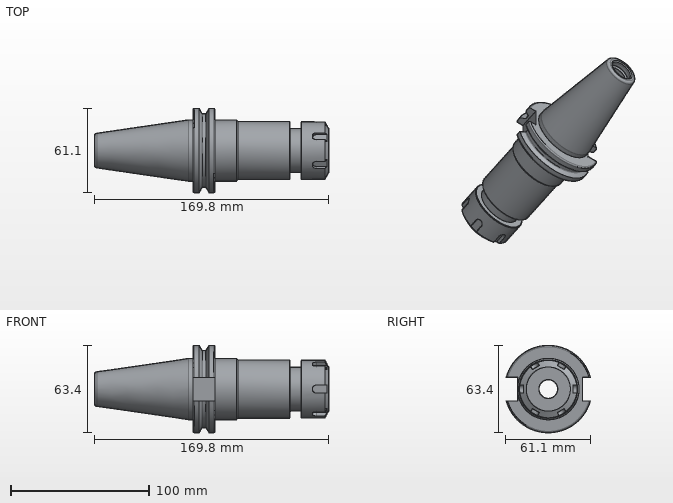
import cadquery as cq
import math


TAPER_RATIO = 7 / 24
GAUGE_DIAMETER = 44.5
TAPER_END_X = 68.1
SMALL_END_ROUND = 2.0

FLANGE_START_X = 71.3
FLANGE_END_X = 87.1
FLANGE_DIAMETER = 63.4
FLANGE_ROUND = 1.0
GROOVE_START_X = 75.8
GROOVE_END_X = 82.9
GROOVE_DIAMETER = 56.0
GROOVE_WALL_ANGLE = 60.0
GROOVE_ROUND = 0.5

DRIVE_SLOT_WIDTH = 17.0
DRIVE_FLOOR_FRONT = 22.3
DRIVE_FLOOR_BACK = 24.8

COLLAR_DIAMETER = GAUGE_DIAMETER
COLLAR_END_X = 103.8
BODY_DIAMETER = 42.3
BODY_END_X = 141.5
BODY_CHAMFER = 0.5
NOSE_DIAMETER = 32.0
NECK_ROUND = 0.5
NOSE_END_X = 163.0

BORE_DIAMETER = 13.5
MOUTH_DIAMETER = 18.0
COUNTERBORE_DIAMETER = 16.3
COUNTERBORE_END_X = 2.4
THREAD_DIAMETER = 15.8
THREAD_START_X = 3.5
THREAD_END_X = 4.2

NUT_START_X = 149.5
NUT_END_X = 169.8
NUT_DIAMETER = 42.0
NUT_FACE_DIAMETER = 32.0
NUT_CONE_START_X = 166.8
NUT_CONE_END_X = 169.3
NUT_BACK_CHAMFER = 0.5

WRENCH_SLOT_COUNT = 6
WRENCH_SLOT_WIDTH = 5.8
WRENCH_SLOT_START_X = 157.6
WRENCH_FLOOR_RADIUS = 18.0


def revolve_about_axis(profile):
    """Turn a closed profile, drawn as (X, radius), around the X axis."""
    return profile.close().revolve(360, (0, 0, 0), (1, 0, 0))


def cylinder(start_x, end_x, diameter):
    return cq.Workplane("YZ", origin=(start_x, 0, 0)).circle(diameter / 2).extrude(end_x - start_x)


def taper_shank():
    gauge_radius = GAUGE_DIAMETER / 2
    small_radius = gauge_radius - TAPER_END_X * TAPER_RATIO / 2
    shank = revolve_about_axis(
        cq.Workplane("XY")
        .lineTo(0, small_radius)
        .lineTo(TAPER_END_X, gauge_radius)
        .lineTo(FLANGE_START_X, gauge_radius)
        .lineTo(FLANGE_START_X, 0)
    )
    return shank.faces("<X").edges().fillet(SMALL_END_ROUND)


def gripper_groove():
    outer_radius = FLANGE_DIAMETER / 2
    floor_radius = GROOVE_DIAMETER / 2
    wall_length = (outer_radius - floor_radius) / math.tan(math.radians(GROOVE_WALL_ANGLE))
    groove = revolve_about_axis(
        cq.Workplane("XY")
        .moveTo(GROOVE_START_X, outer_radius)
        .lineTo(GROOVE_START_X + wall_length, floor_radius)
        .lineTo(GROOVE_END_X - wall_length, floor_radius)
        .lineTo(GROOVE_END_X, outer_radius)
    )
    floor_edges = cq.selectors.RadiusNthSelector(0)
    return groove.edges(floor_edges).fillet(GROOVE_ROUND)


def drive_slot(side, floor_distance):
    """Slot cutter on one side of the flange; side is -1 for -Y and +1 for +Y."""
    depth = FLANGE_DIAMETER / 2
    centre_y = side * (floor_distance + depth / 2)
    slot = cq.Workplane("XY", origin=(FLANGE_START_X, centre_y, 0))
    return slot.box(
        FLANGE_END_X - FLANGE_START_X, depth, DRIVE_SLOT_WIDTH, centered=(False, True, True)
    )


def flange():
    disc = cylinder(FLANGE_START_X, FLANGE_END_X, FLANGE_DIAMETER).edges().fillet(FLANGE_ROUND)
    return (
        disc.cut(gripper_groove())
        .cut(drive_slot(-1, DRIVE_FLOOR_FRONT))
        .cut(drive_slot(1, DRIVE_FLOOR_BACK))
    )


def body():
    collar_radius = COLLAR_DIAMETER / 2
    body_radius = BODY_DIAMETER / 2
    nose_radius = NOSE_DIAMETER / 2
    collar_chamfer = collar_radius - body_radius
    return revolve_about_axis(
        cq.Workplane("XY")
        .moveTo(FLANGE_START_X, 0)
        .lineTo(FLANGE_START_X, collar_radius)
        .lineTo(COLLAR_END_X - collar_chamfer, collar_radius)
        .lineTo(COLLAR_END_X, body_radius)
        .lineTo(BODY_END_X - BODY_CHAMFER, body_radius)
        .lineTo(BODY_END_X, body_radius - BODY_CHAMFER)
        .lineTo(BODY_END_X, nose_radius + NECK_ROUND)
        .radiusArc((BODY_END_X + NECK_ROUND, nose_radius), -NECK_ROUND)
        .lineTo(NOSE_END_X, nose_radius)
        .lineTo(NOSE_END_X, 0)
    )


def holder_bore():
    mouth_radius = MOUTH_DIAMETER / 2
    counterbore_radius = COUNTERBORE_DIAMETER / 2
    thread_radius = THREAD_DIAMETER / 2
    bore_radius = BORE_DIAMETER / 2
    return revolve_about_axis(
        cq.Workplane("XY")
        .lineTo(0, mouth_radius)
        .lineTo(mouth_radius - counterbore_radius, counterbore_radius)
        .lineTo(COUNTERBORE_END_X, counterbore_radius)
        .lineTo(THREAD_START_X, thread_radius)
        .lineTo(THREAD_END_X, thread_radius)
        .lineTo(THREAD_END_X + thread_radius - bore_radius, bore_radius)
        .lineTo(NOSE_END_X, bore_radius)
        .lineTo(NOSE_END_X, 0)
    )


def make_holder():
    return taper_shank().union(flange()).union(body()).cut(holder_bore())


def wrench_slot():
    """Slot cutter on the -Y side of the nut: round at the back, running out at the cone."""
    radius = WRENCH_SLOT_WIDTH / 2
    depth = NUT_DIAMETER / 2
    centre_x = WRENCH_SLOT_START_X + radius
    return (
        cq.Workplane("XZ", origin=(0, -WRENCH_FLOOR_RADIUS, 0))
        .moveTo(NUT_END_X, radius)
        .lineTo(centre_x, radius)
        .threePointArc((WRENCH_SLOT_START_X, 0), (centre_x, -radius))
        .lineTo(NUT_END_X, -radius)
        .close()
        .extrude(depth)
    )


def make_nut():
    nut_radius = NUT_DIAMETER / 2
    face_radius = NUT_FACE_DIAMETER / 2
    nut = revolve_about_axis(
        cq.Workplane("XY")
        .moveTo(NUT_START_X, 0)
        .lineTo(NUT_START_X, nut_radius - NUT_BACK_CHAMFER)
        .lineTo(NUT_START_X + NUT_BACK_CHAMFER, nut_radius)
        .lineTo(NUT_CONE_START_X, nut_radius)
        .lineTo(NUT_CONE_END_X, face_radius)
        .lineTo(NUT_END_X, face_radius)
        .lineTo(NUT_END_X, 0)
    )
    for index in range(WRENCH_SLOT_COUNT):
        angle = index * 360 / WRENCH_SLOT_COUNT
        nut = nut.cut(wrench_slot().rotate((0, 0, 0), (1, 0, 0), angle))
    nut = nut.cut(cylinder(NUT_START_X, NOSE_END_X, NOSE_DIAMETER))
    return nut.cut(cylinder(NOSE_END_X, NUT_END_X, BORE_DIAMETER))


holder = make_holder()
nut = make_nut()
result = cq.Compound.makeCompound([holder.solids().val(), nut.solids().val()])